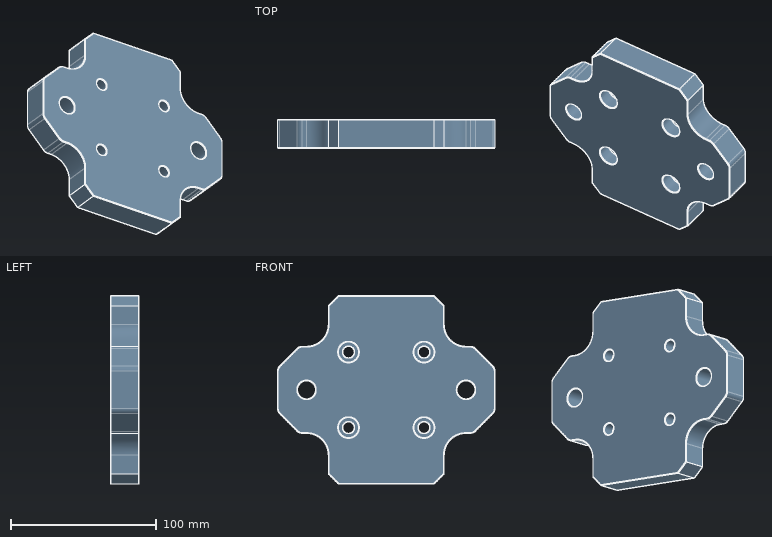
import cadquery as cq

length = 150.0
height = 130.0
thickness = 20.0

body_width = 80.0
body_corner_cut = 7.0
arm_height = 60.0
arm_corner_cut = 15.0
arm_corner_radius = 5.0
inner_corner_radius = 15.0

edge_break = 0.5

arm_hole_diameter = 12.5
arm_hole_spacing = 110.0

screw_hole_diameter = 8.0
screw_head_diameter = 14.0
screw_head_depth = 10.0
screw_spacing = 52.0


def plate_bar(width, tall):
    """Rectangular bar of full plate thickness, centred on the origin."""
    return cq.Workplane("XZ").rect(width, tall).extrude(thickness / 2, both=True)


def make_plate():
    """Cross-shaped plate with cut outer corners and rounded inner corners."""
    body = plate_bar(body_width, height).edges("|Y").chamfer(body_corner_cut)
    arms = plate_bar(length, arm_height).edges("|Y").chamfer(arm_corner_cut)
    arms = arms.edges("|Y").fillet(arm_corner_radius)
    plate = body.union(arms)
    for side_x in (-1, 1):
        for side_z in (-1, 1):
            corner = (side_x * body_width / 2, 0, side_z * arm_height / 2)
            plate = plate.edges(cq.selectors.NearestToPointSelector(corner)).fillet(inner_corner_radius)
    return plate


def front_face(plate):
    """Workplane on the -Y face, centred on the plate axis."""
    return plate.faces("<Y").workplane(centerOption="ProjectedOrigin", origin=(0, 0, 0))


plate = make_plate()
plate = front_face(plate).rarray(arm_hole_spacing, 1.5, 2, 1).hole(arm_hole_diameter)
plate = (
    front_face(plate)
    .rarray(screw_spacing, screw_spacing, 2, 2)
    .cboreHole(screw_hole_diameter, screw_head_diameter, screw_head_depth)
)

result = plate.faces("<Y or >Y").edges().chamfer(edge_break)